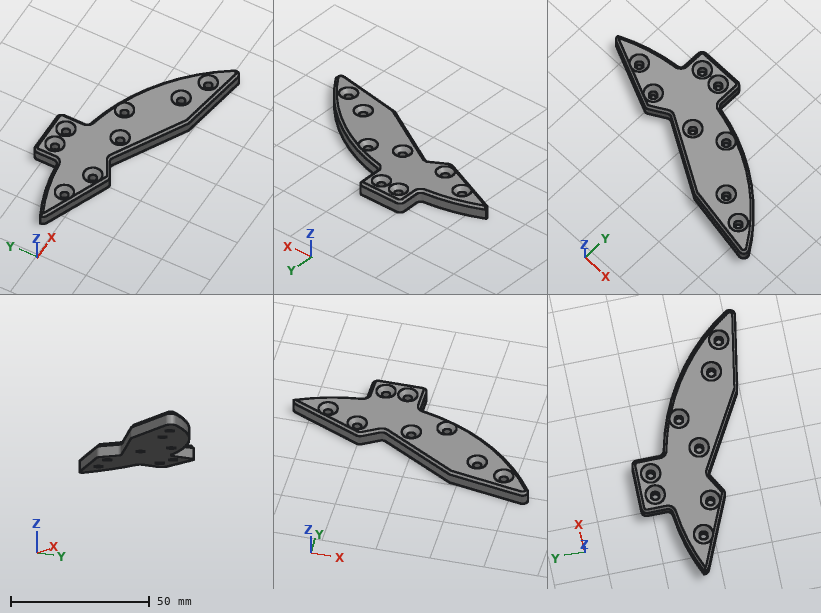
import cadquery as cq
import math

thickness = 5.0
corner_radius = 2.0
edge_chamfer = 1.0

back_radius = 73.9
back_center_x = -4.2
back_center_y = -59.5

tab_width = 20.0
tab_end_y = 25.0

left_end_x = -35.5
left_end_radius = 2.25
left_toe_x = -8.0
notch_y = -1.3
notch_slope = math.tan(math.radians(30))
right_bend_x = 28.6
right_tip_angle = 10

hole_diameter = 3.0
sink_diameter = 6.9
sink_angle = 100
hole_centers = [
    (-22.0, 5.0), (-10.0, 0), (10.0, 0), (22.0, 5.0),
    (-4.0, 19.0), (4.0, 19.0),
    (37.0, -10.0), (48.0, -15.0),
]


def back_point(x):
    """Point of the back arc at the given X."""
    return (x, back_center_y + math.sqrt(back_radius**2 - (x - back_center_x)**2))


def notch_point(x):
    """Point on the notch flanks, which fall away equally on both sides of X = 0."""
    return (x, notch_y - notch_slope * abs(x))


def right_tip():
    """Where the line from the right bend meets the back arc."""
    start_x, start_y = notch_point(right_bend_x)
    angle = math.radians(-right_tip_angle)
    dir_x, dir_y = math.cos(angle), math.sin(angle)
    offset_x, offset_y = start_x - back_center_x, start_y - back_center_y
    along = offset_x * dir_x + offset_y * dir_y
    gap = offset_x**2 + offset_y**2 - back_radius**2
    length = -along + math.sqrt(along**2 - gap)
    return (start_x + length * dir_x, start_y + length * dir_y)


def left_round():
    """Middle and end of the left end arc, which runs tangent into the line from the left toe."""
    center_x = left_end_x + left_end_radius
    center_y = back_point(left_end_x)[1]
    toe_x, toe_y = notch_point(left_toe_x)
    toe_direction = math.atan2(toe_y - center_y, toe_x - center_x)
    toe_distance = math.hypot(toe_x - center_x, toe_y - center_y)
    end_angle = toe_direction - math.acos(left_end_radius / toe_distance)
    mid_angle = (end_angle - math.pi) / 2
    return [
        (
            center_x + left_end_radius * math.cos(angle),
            center_y + left_end_radius * math.sin(angle),
        )
        for angle in (mid_angle, end_angle)
    ]


def make_plate():
    half_tab = tab_width / 2
    tip = right_tip()
    left_back = back_point(left_end_x)
    rounded_corners = [
        notch_point(left_toe_x),
        notch_point(0),
        notch_point(right_bend_x),
        tip,
        back_point(half_tab),
        (half_tab, tab_end_y),
        (-half_tab, tab_end_y),
        back_point(-half_tab),
    ]
    left_round_mid, left_round_end = left_round()
    left_mid = back_point((left_end_x - half_tab) / 2)
    right_mid = back_point((tip[0] + half_tab) / 2)
    plate = (
        cq.Workplane("XY")
        .polyline([left_round_end] + rounded_corners[:4])
        .threePointArc(right_mid, back_point(half_tab))
        .lineTo(half_tab, tab_end_y)
        .lineTo(-half_tab, tab_end_y)
        .lineTo(*back_point(-half_tab))
        .threePointArc(left_mid, left_back)
        .threePointArc(left_round_mid, left_round_end)
        .close()
        .extrude(thickness)
    )
    for x, y in rounded_corners:
        corner = cq.selectors.NearestToPointSelector((x, y, thickness / 2))
        plate = plate.edges("|Z").edges(corner).fillet(corner_radius)
    return plate.faces(">Z").edges().chamfer(edge_chamfer)


def cut_screw_holes(plate):
    return (
        plate.faces(">Z")
        .workplane(origin=(0, 0, thickness))
        .pushPoints(hole_centers)
        .cskHole(hole_diameter, sink_diameter, sink_angle)
    )


result = cut_screw_holes(make_plate())